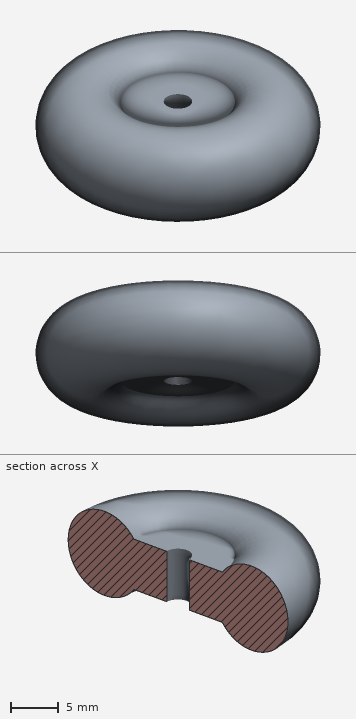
import cadquery as cq

outer_diameter = 30.0
rim_thickness = 10.0
web_thickness = 6.0
hole_diameter = 3.0

rim_radius = rim_thickness / 2
rim_centre_radius = outer_diameter / 2 - rim_radius
web_half_thickness = web_thickness / 2
web_radius = rim_centre_radius - (rim_radius**2 - web_half_thickness**2) ** 0.5


def make_wheel():
    """Revolve the half section: a flat web running into a round rim, with a central bore."""
    hole_radius = hole_diameter / 2
    section = (
        cq.Workplane("YZ")
        .moveTo(hole_radius, -web_half_thickness)
        .lineTo(web_radius, -web_half_thickness)
        .threePointArc(
            (outer_diameter / 2, 0),
            (web_radius, web_half_thickness),
        )
        .lineTo(hole_radius, web_half_thickness)
        .close()
    )
    return section.revolve(360, (0, 0, 0), (0, 1, 0))


result = make_wheel()